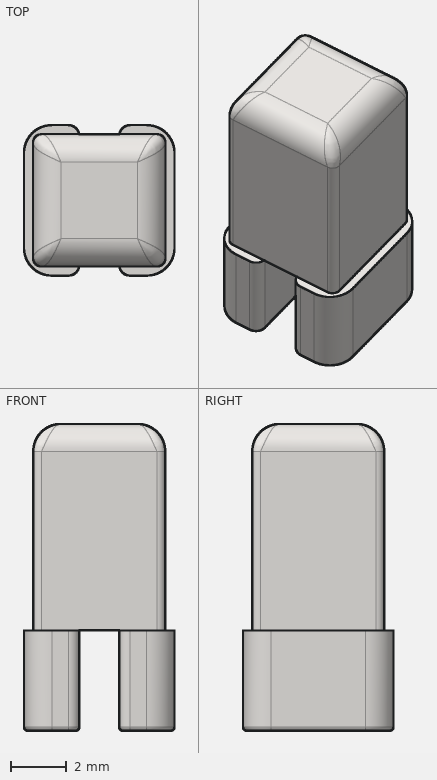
import cadquery as cq

overall_width = 5.4
overall_height = 11.0

leg_height = 3.6
cap_height = overall_height - leg_height
cap_width = 4.74
cap_top_radius = 1.0
cap_corner_radius = 0.3

slot_width = 1.42
leg_width = (overall_width - slot_width) / 2
leg_outer_radius = 1.0
leg_slot_radius = 0.4
leg_bottom_radius = 0.15


def make_cap():
    """Square block with a rounded top and softly rounded corners."""
    block = cq.Workplane("XY").rect(cap_width, cap_width).extrude(cap_height)
    block = block.edges("|Z").fillet(cap_corner_radius)
    return block.faces(">Z").edges().fillet(cap_top_radius)


def make_leg(side):
    """Solid leg below the cap; side is +1 for the +X leg and -1 for the -X leg."""
    center_x = side * (slot_width + leg_width) / 2
    outer_face = ">X" if side > 0 else "<X"
    slot_face = "<X" if side > 0 else ">X"
    leg = cq.Workplane("XY").center(center_x, 0).rect(leg_width, overall_width).extrude(-leg_height)
    leg = leg.faces(outer_face).edges("|Z").fillet(leg_outer_radius)
    leg = leg.faces(slot_face).edges("|Z").fillet(leg_slot_radius)
    return leg.faces("<Z").edges().fillet(leg_bottom_radius)


result = make_cap()
for side in (-1, 1):
    result = result.union(make_leg(side))